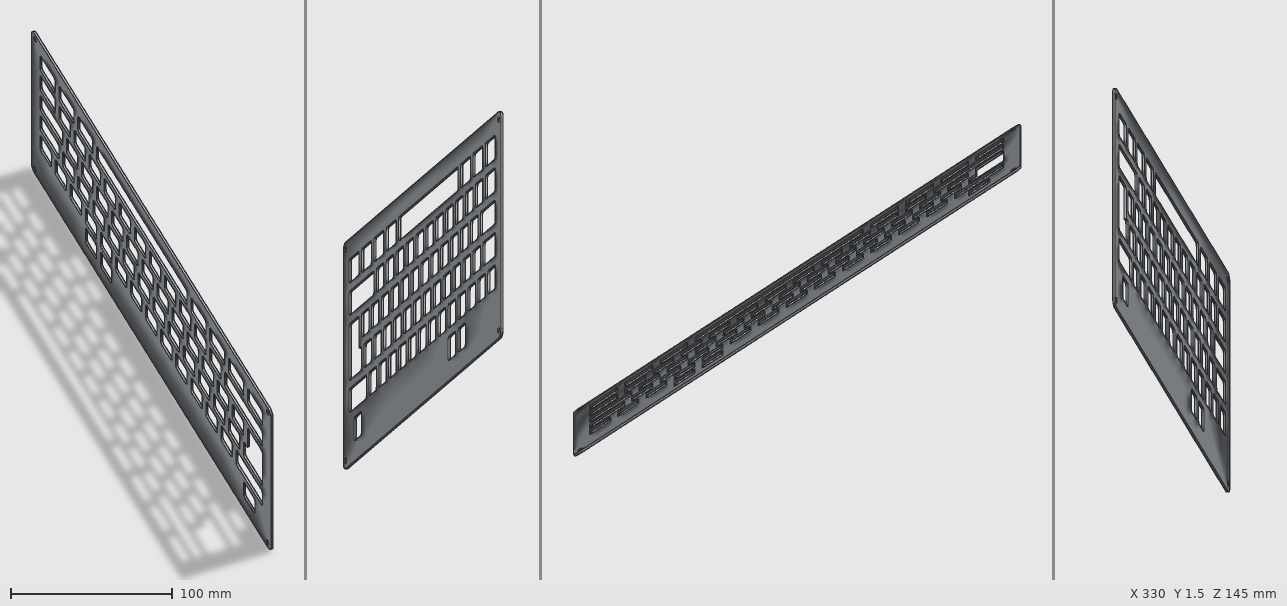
import cadquery as cq

PLATE_WIDTH = 330.0
PLATE_HEIGHT = 145.0
PLATE_THICKNESS = 1.5
PLATE_CORNER_RADIUS = 5.0

SCREW_HOLE_DIAMETER = 3.3
SCREW_HOLE_INSET = 5.0

FIELD_WIDTH = 306.0
KEY_GAP = 5.3
FIELD_UNITS = 15
KEY_CORNER_RADIUS = 2.0

KEY_PITCH = (FIELD_WIDTH + KEY_GAP) / FIELD_UNITS

KEY_ROWS = [
    [(0, 3, 1.25), (3.75, 1, 6.25), (10, 4, 1.25)],
    [(0, 1, 1.25), (1.25, 11, 1), (12.25, 1, 2.75)],
    [(0, 1, 1.75), (1.75, 12, 1)],
    [(0, 1, 1.5), (1.5, 12, 1)],
    [(0, 13, 1), (13, 1, 2)],
    [(3, 2, 1), (13.5, 1, 1)],
]

ENTER_TOP_ROW = 2
ENTER_ARM_UNITS = 1.25
ENTER_ARM_ROWS = 2
ENTER_FOOT_UNITS = 1.5

FIELD_LEFT = -FIELD_UNITS * KEY_PITCH / 2
FIELD_TOP = len(KEY_ROWS) * KEY_PITCH / 2


def key_cutter(column, row, width_units, height_units=1):
    """Round-cornered block for one key, half a gap smaller than its cell on every side."""
    width = width_units * KEY_PITCH - KEY_GAP
    height = height_units * KEY_PITCH - KEY_GAP
    center_x = FIELD_LEFT + (column + width_units / 2) * KEY_PITCH
    center_z = FIELD_TOP - (row + height_units / 2) * KEY_PITCH
    block = cq.Workplane("XY").box(width, PLATE_THICKNESS, height)
    return block.edges("|Y").fillet(KEY_CORNER_RADIUS).translate((center_x, 0, center_z))


def rectangular_key_cutters():
    """Cutters for all the keys except the enter key."""
    cutters = cq.Workplane("XY")
    for row, runs in enumerate(KEY_ROWS):
        for first_column, count, width_units in runs:
            for index in range(count):
                column = first_column + index * width_units
                cutters.add(key_cutter(column, row, width_units))
    return cq.Workplane(cq.Compound.makeCompound(cutters.vals()))


def enter_cutter():
    """L-shaped cutter for the enter key, with a sharp inner corner."""
    arm = key_cutter(FIELD_UNITS - ENTER_ARM_UNITS, ENTER_TOP_ROW, ENTER_ARM_UNITS, ENTER_ARM_ROWS)
    foot = key_cutter(FIELD_UNITS - ENTER_FOOT_UNITS, ENTER_TOP_ROW + 1, ENTER_FOOT_UNITS)
    return arm.union(foot)


def make_plate():
    """Blank plate with rounded corners and screw holes."""
    plate = cq.Workplane("XY").box(PLATE_WIDTH, PLATE_THICKNESS, PLATE_HEIGHT)
    plate = plate.edges("|Y").fillet(PLATE_CORNER_RADIUS)
    return (
        plate.faces("<Y").workplane(centerOption="CenterOfBoundBox")
        .rect(
            PLATE_WIDTH - 2 * SCREW_HOLE_INSET,
            PLATE_HEIGHT - 2 * SCREW_HOLE_INSET,
            forConstruction=True,
        )
        .vertices()
        .hole(SCREW_HOLE_DIAMETER)
    )


result = make_plate().cut(rectangular_key_cutters()).cut(enter_cutter())